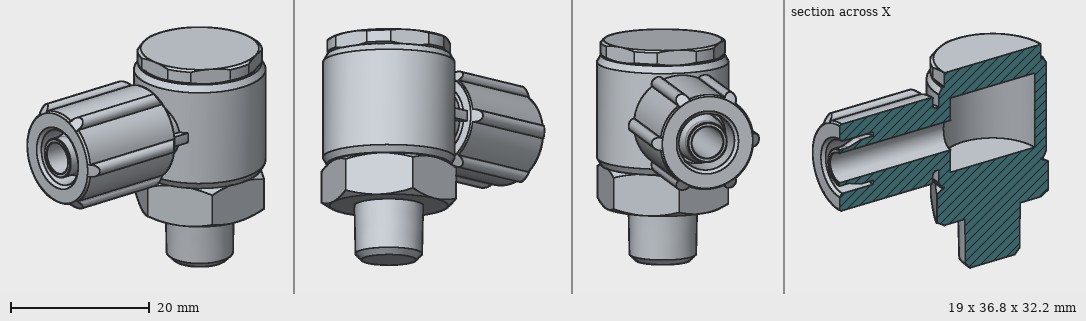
import cadquery as cq
import math

TAN30 = math.tan(math.radians(30))

body_radius = 9.5
body_half_height = 8.0
body_chamfer_height = 1.0
body_chamfer_width = body_chamfer_height * TAN30

wrench_size = 17.0
hex_face_radius = wrench_size / 2
cap_top = 10.2
cap_radius = 9.0
lower_hex_height = 6.07
lower_hex_bottom = -body_half_height - lower_hex_height
lower_hex_corner_radius = wrench_size / math.sqrt(3)

spigot_bottom = -22.0
spigot_top_radius = 4.97
spigot_end_radius = 4.82
spigot_chamfer = 0.9

neck_radius = 5.0
neck_flare = 0.35
fin_radius = 6.05
fin_thickness = 1.47

nut_start = 10.45
nut_end = 26.95
nut_radius = 6.92
nut_chamfer_width = 0.22
nut_back_chamfer = 0.22
nut_front_chamfer = 0.35
nut_face_radius = nut_radius - nut_chamfer_width
rib_count = 6
rib_radius = 0.92
rib_center = 7.03
rib_tip = rib_center + rib_radius

socket_radius = 4.12
socket_chamfer = 0.48
socket_depth = 5.9
insert_end = 27.0
insert_radius = 3.57
insert_tip_radius = 2.9
insert_tip_length = 1.65
insert_taper = 2.2
insert_edge = 0.1

outlet_bore_radius = 2.32
outlet_bore_edge = 0.07
chamber_radius = 7.35
chamber_half_height = body_half_height - (body_radius - chamber_radius)


def turn_z(points):
    """Revolve (radius, z) points around the body axis."""
    return cq.Workplane("XZ").polyline(points).close().revolve(360, (0, 0, 0), (0, 1, 0))


def turn_outlet(points):
    """Revolve (radius, distance along the outlet) points around the outlet axis."""
    profile = [(radius, -distance) for radius, distance in points]
    return cq.Workplane("XY").polyline(profile).close().revolve(360, (0, 0, 0), (0, 1, 0))


def chamfered_hexagon(bottom, top, corner_radius, turn):
    """Hexagonal prism, limited to corner_radius, with 30 degree corner chamfers."""
    drop = (corner_radius - hex_face_radius) * TAN30
    envelope = turn_z([
        (0, bottom),
        (hex_face_radius, bottom),
        (corner_radius, bottom + drop),
        (corner_radius, top - drop),
        (hex_face_radius, top),
        (0, top),
    ])
    prism = (
        cq.Workplane("XY", origin=(0, 0, bottom))
        .polygon(6, wrench_size, circumscribed=True)
        .extrude(top - bottom)
        .rotate((0, 0, 0), (0, 0, 1), turn)
    )
    return prism.intersect(envelope)


def swivel_body():
    end_radius = body_radius - body_chamfer_width
    shoulder = body_half_height - body_chamfer_height
    return turn_z([
        (0, -body_half_height),
        (end_radius, -body_half_height),
        (body_radius, -shoulder),
        (body_radius, shoulder),
        (end_radius, body_half_height),
        (0, body_half_height),
    ])


def spigot():
    return turn_z([
        (0, spigot_bottom),
        (spigot_end_radius - spigot_chamfer, spigot_bottom),
        (spigot_end_radius, spigot_bottom + spigot_chamfer),
        (spigot_top_radius, lower_hex_bottom),
        (0, lower_hex_bottom),
    ])


def neck():
    return turn_outlet([
        (0, 0),
        (neck_radius, 0),
        (neck_radius, nut_start - neck_flare),
        (neck_radius + neck_flare, nut_start),
        (0, nut_start),
    ])


def fins():
    """Slice of a cylinder standing out on both sides of the neck."""
    disc = turn_outlet([(0, 0), (fin_radius, 0), (fin_radius, nut_start), (0, nut_start)])
    slab = cq.Workplane("XY").box(2 * fin_radius, 2 * nut_start, fin_thickness)
    return disc.intersect(slab)


def ribs():
    """Round-topped ribs along the nut, with 45 degree conical ends."""
    length = nut_end - nut_start
    start = cq.Workplane("XZ", origin=(0, -nut_start, 0))
    rounds = start.polarArray(rib_center, 0, 360, rib_count).circle(rib_radius).extrude(length)
    webs = (
        start.polarArray(rib_center / 2, 0, 360, rib_count)
        .rect(rib_center, 2 * rib_radius)
        .extrude(length)
    )
    end_length = rib_tip - nut_face_radius
    envelope = turn_outlet([
        (0, nut_start),
        (nut_face_radius, nut_start),
        (rib_tip, nut_start + end_length),
        (rib_tip, nut_end - end_length),
        (nut_face_radius, nut_end),
        (0, nut_end),
    ])
    return rounds.union(webs).intersect(envelope)


def compression_nut():
    barrel = turn_outlet([
        (0, nut_start),
        (nut_face_radius, nut_start),
        (nut_radius, nut_start + nut_back_chamfer),
        (nut_radius, nut_end - nut_front_chamfer),
        (nut_face_radius, nut_end),
        (0, nut_end),
    ])
    return barrel.union(ribs())


def tube_socket():
    """Annular gap around the insert, open at the nut's end face."""
    floor = nut_end - socket_depth
    return turn_outlet([
        (0, floor),
        (socket_radius, floor),
        (socket_radius, nut_end - socket_chamfer),
        (socket_radius + socket_chamfer, nut_end),
        (0, nut_end),
    ])


def tube_insert():
    floor = nut_end - socket_depth
    shoulder = insert_end - insert_tip_length
    return turn_outlet([
        (0, floor),
        (insert_radius, floor),
        (insert_radius, shoulder - insert_taper),
        (insert_tip_radius, shoulder),
        (insert_tip_radius, insert_end - insert_edge),
        (insert_tip_radius - insert_edge, insert_end),
        (0, insert_end),
    ])


def flow_passages():
    """Round chamber inside the body, opened by the outlet bore."""
    outlet = turn_outlet([
        (0, 0),
        (outlet_bore_radius, 0),
        (outlet_bore_radius, insert_end - outlet_bore_edge),
        (outlet_bore_radius + outlet_bore_edge, insert_end),
        (0, insert_end),
    ])
    chamber = cq.Workplane("XY").circle(chamber_radius).extrude(chamber_half_height, both=True)
    return outlet.union(chamber)


cap = chamfered_hexagon(body_half_height, cap_top, cap_radius, turn=30)
lower_hexagon = chamfered_hexagon(lower_hex_bottom, -body_half_height, lower_hex_corner_radius, turn=0)

result = (
    swivel_body()
    .union(cap)
    .union(lower_hexagon)
    .union(spigot())
    .union(neck())
    .union(fins())
    .union(compression_nut())
    .cut(tube_socket())
    .union(tube_insert())
    .cut(flow_passages())
)